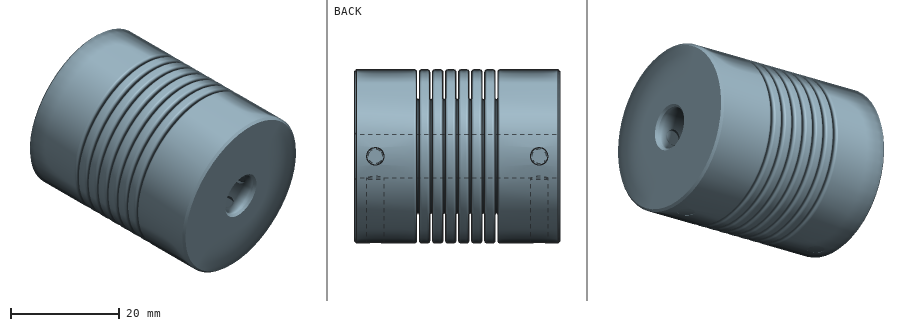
import cadquery as cq
import math

LENGTH = 38.0
OUTER_RADIUS = 16.0
BORE_RADIUS = 4.0
END_CHAMFER = 0.4

HUB_LENGTH = 11.5
GROOVE_COUNT = 7
GROOVE_WIDTH = 0.5
GROOVE_FLOOR_RADIUS = 10.5
GROOVE_FLOOR_FILLET = 0.23
GROOVE_RIM_FILLET = 0.5

SCREW_RADIUS = 1.6
SCREW_TIP_CHAMFER = 0.25
SCREW_END_DISTANCE = 3.88
SCREW_DIRECTIONS = [cq.Vector(0, 1, 0), cq.Vector(0, 0, -1)]

groove_pitch = (LENGTH - 2 * HUB_LENGTH - GROOVE_WIDTH) / (GROOVE_COUNT - 1)
first_groove_x = -groove_pitch * (GROOVE_COUNT - 1) / 2

screw_length = math.sqrt(OUTER_RADIUS**2 - SCREW_RADIUS**2) - BORE_RADIUS
screw_x = LENGTH / 2 - SCREW_END_DISTANCE
screw_places = [(x, direction) for x in (-screw_x, screw_x) for direction in SCREW_DIRECTIONS]


def ring_groove(center_x):
    """Ring that cuts one groove, with rounded floor corners and rounded outer rims."""
    wall = GROOVE_WIDTH / 2
    mouth = wall + GROOVE_RIM_FILLET
    floor = wall - GROOVE_FLOOR_FILLET
    wall_bottom = GROOVE_FLOOR_RADIUS + GROOVE_FLOOR_FILLET
    wall_top = OUTER_RADIUS - GROOVE_RIM_FILLET
    profile = (
        cq.Workplane("XY", origin=(center_x, 0, 0))
        .moveTo(-mouth, OUTER_RADIUS)
        .radiusArc((-wall, wall_top), GROOVE_RIM_FILLET)
        .lineTo(-wall, wall_bottom)
        .radiusArc((-floor, GROOVE_FLOOR_RADIUS), -GROOVE_FLOOR_FILLET)
        .lineTo(floor, GROOVE_FLOOR_RADIUS)
        .radiusArc((wall, wall_bottom), -GROOVE_FLOOR_FILLET)
        .lineTo(wall, wall_top)
        .radiusArc((mouth, OUTER_RADIUS), GROOVE_RIM_FILLET)
        .close()
    )
    return profile.revolve(360, (0, 0, 0), (1, 0, 0))


def radial_cylinder(x, direction, start_radius, length):
    """Cylinder of the screw radius, pointing outward from the coupling axis."""
    base = cq.Vector(x, 0, 0) + direction * start_radius
    return cq.Workplane(cq.Solid.makeCylinder(SCREW_RADIUS, length, base, direction))


def make_coupling():
    """One-piece coupling with a through bore, ring grooves and screw holes."""
    body = (
        cq.Workplane("YZ")
        .circle(OUTER_RADIUS)
        .circle(BORE_RADIUS)
        .extrude(LENGTH / 2, both=True)
        .faces("<X or >X")
        .chamfer(END_CHAMFER)
    )
    for index in range(GROOVE_COUNT):
        body = body.cut(ring_groove(first_groove_x + index * groove_pitch))
    for x, direction in screw_places:
        screw_hole = radial_cylinder(x, direction, 0, OUTER_RADIUS)
        body = body.cut(screw_hole)
    return body.solids()


def make_set_screw(x, direction):
    """Plain set screw with a chamfered tip at the bore."""
    blank = radial_cylinder(x, direction, BORE_RADIUS, screw_length)
    tip_face = cq.selectors.DirectionMinMaxSelector(direction, directionMax=False)
    return blank.faces(tip_face).edges().chamfer(SCREW_TIP_CHAMFER).solids()


coupling = make_coupling()
set_screws = [make_set_screw(x, direction).val() for x, direction in screw_places]

result = cq.Compound.makeCompound([coupling.val(), *set_screws])